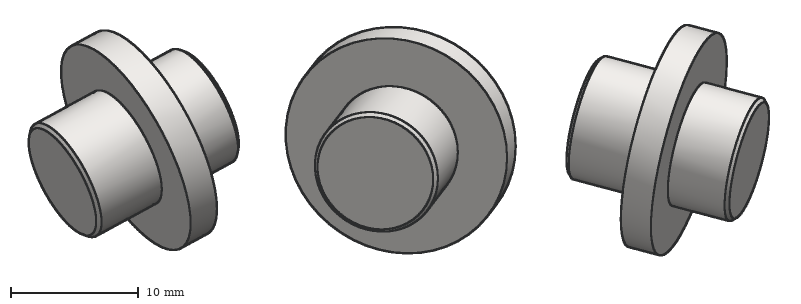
import cadquery as cq

flange_diameter = 18.0
flange_thickness = 2.5
journal_diameter = 10.0
front_journal_length = 6.0
back_journal_length = 5.0
end_chamfer = 0.3


def journal_end(flange_face, length):
    """Journal starting on a flange face, with its free end chamfered."""
    journal = cq.Workplane(flange_face).circle(journal_diameter / 2).extrude(length)
    return journal.faces("<Y" if flange_face.zDir.y < 0 else ">Y").chamfer(end_chamfer)


front_face = cq.Plane.XZ()
back_face = cq.Plane.ZX(origin=(0, flange_thickness, 0))
flange = cq.Workplane(front_face).circle(flange_diameter / 2).extrude(-flange_thickness)

front_journal = journal_end(front_face, front_journal_length)
back_journal = journal_end(back_face, back_journal_length)

result = flange.union(front_journal).union(back_journal)